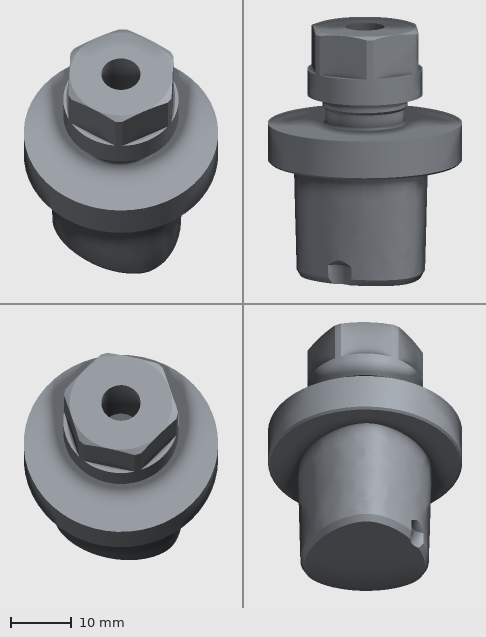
import math

import cadquery as cq


shank_chamfer_height = 1.1
flange_bottom_z = 19.0
flange_top_z = 25.5
collar_bottom_z = 28.0
nut_bottom_z = 30.25
hex_bottom_z = 34.6
nut_top_z = 41.6

shank_top_diameter = 22.07
shank_taper = 1 / 20
shank_lobe_offset = 0.7
shank_chamfer_angle = 30.0
section_point_count = 60

notch_radius = 2.75
notch_axis_x = -11.55
notch_roof_base_z = 3.2
notch_roof_angle = 40.0

flange_diameter = 32.0
flange_chamfer = 0.35
neck_diameter = 13.0
neck_fillet = 0.5
collar_diameter = 14.0

nut_diameter = 19.0
hex_across_flats = 17.0
nut_top_land_diameter = 16.9
nut_chamfer_height = 0.4
bore_diameter = 6.44
bore_depth = nut_top_z - nut_bottom_z


def trilobe_section(mean_diameter, z):
    """Closed wire whose width is mean_diameter in every direction."""

    def point(angle):
        x = mean_diameter / 2 * math.cos(angle)
        x += shank_lobe_offset * (2 * math.cos(2 * angle) - math.cos(4 * angle))
        y = mean_diameter / 2 * math.sin(angle)
        y -= shank_lobe_offset * (2 * math.sin(2 * angle) + math.sin(4 * angle))
        return cq.Vector(x, y, z)

    step = 2 * math.pi / section_point_count
    points = [point(i * step) for i in range(section_point_count)]
    return cq.Wire.assembleEdges([cq.Edge.makeSpline(points, periodic=True)])


def make_shank():
    tapered_height = flange_bottom_z - shank_chamfer_height
    lower_diameter = shank_top_diameter - shank_taper * tapered_height
    chamfer_inset = shank_chamfer_height * math.tan(math.radians(shank_chamfer_angle))
    end_diameter = lower_diameter - 2 * chamfer_inset

    top = trilobe_section(shank_top_diameter, flange_bottom_z)
    middle = trilobe_section(lower_diameter, shank_chamfer_height)
    end = trilobe_section(end_diameter, 0)
    taper = cq.Solid.makeLoft([middle, top], True)
    chamfer = cq.Solid.makeLoft([end, middle], True)
    return cq.Workplane(taper).union(cq.Workplane(chamfer))


def make_notch():
    roof_height = notch_radius * math.tan(math.radians(notch_roof_angle))
    profile = (
        cq.Workplane("XZ")
        .moveTo(0, 0)
        .lineTo(notch_radius, 0)
        .lineTo(notch_radius, notch_roof_base_z)
        .lineTo(0, notch_roof_base_z + roof_height)
        .close()
    )
    return profile.revolve(360, (0, 0, 0), (0, 1, 0)).translate((notch_axis_x, 0, 0))


def make_flange_and_neck():
    flange_radius = flange_diameter / 2
    neck_radius = neck_diameter / 2
    collar_radius = collar_diameter / 2
    collar_chamfer = collar_radius - neck_radius
    fillet_drop = neck_fillet * (1 - math.sqrt(0.5))
    profile = (
        cq.Workplane("XZ")
        .moveTo(0, flange_bottom_z)
        .lineTo(flange_radius - flange_chamfer, flange_bottom_z)
        .lineTo(flange_radius, flange_bottom_z + flange_chamfer)
        .lineTo(flange_radius, flange_top_z)
        .lineTo(neck_radius + neck_fillet, flange_top_z)
        .threePointArc(
            (neck_radius + fillet_drop, flange_top_z + fillet_drop),
            (neck_radius, flange_top_z + neck_fillet),
        )
        .lineTo(neck_radius, collar_bottom_z)
        .lineTo(collar_radius, collar_bottom_z + collar_chamfer)
        .lineTo(collar_radius, nut_bottom_z)
        .lineTo(0, nut_bottom_z)
        .close()
    )
    return profile.revolve(360, (0, 0, 0), (0, 1, 0))


def make_nut():
    nut_radius = nut_diameter / 2
    turned_blank = (
        cq.Workplane("XZ")
        .moveTo(0, nut_bottom_z)
        .lineTo(nut_radius, nut_bottom_z)
        .lineTo(nut_radius, nut_top_z - nut_chamfer_height)
        .lineTo(nut_top_land_diameter / 2, nut_top_z)
        .lineTo(0, nut_top_z)
        .close()
        .revolve(360, (0, 0, 0), (0, 1, 0))
    )
    hexagon = (
        cq.Workplane("XY", origin=(0, 0, hex_bottom_z))
        .polygon(6, hex_across_flats, circumscribed=True)
        .extrude(nut_top_z - hex_bottom_z)
    )
    oversize_disc = (
        cq.Workplane("XY", origin=(0, 0, nut_bottom_z))
        .circle(nut_diameter)
        .extrude(hex_bottom_z - nut_bottom_z)
    )
    return turned_blank.intersect(hexagon.union(oversize_disc))


def make_bore():
    return (
        cq.Workplane("XY", origin=(0, 0, nut_top_z - bore_depth))
        .circle(bore_diameter / 2)
        .extrude(bore_depth)
    )


shank = make_shank().cut(make_notch())
result = shank.union(make_flange_and_neck()).union(make_nut()).cut(make_bore())